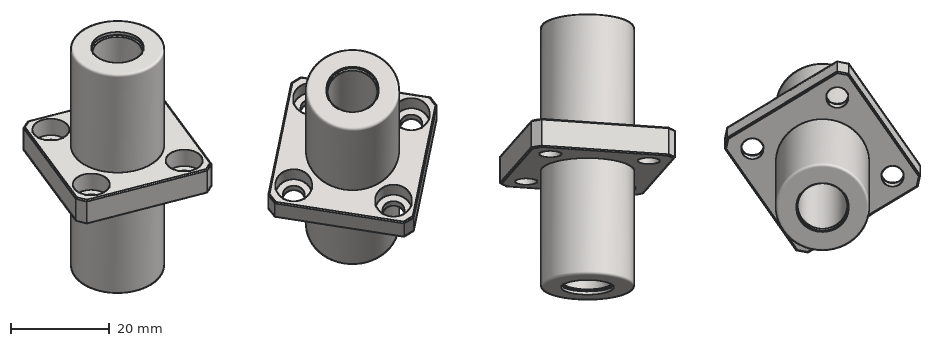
import cadquery as cq

sleeve_length = 55.0
sleeve_diameter = 19.0
sleeve_edge_radius = 0.55

bore_diameter = 10.0
mouth_diameter = 10.6
mouth_depth = 0.7
groove_diameter = 11.2
groove_width = 0.35

flange_side = 30.0
flange_across_corners = 40.0
flange_thickness = 6.0
flange_edge_chamfer = 0.3

screw_circle_radius = 14.5
screw_hole_diameter = 4.5
counterbore_diameter = 7.5
counterbore_depth = 4.1


def make_sleeve():
    """Solid cylinder with rounded end edges."""
    sleeve = cq.Workplane("XY").circle(sleeve_diameter / 2).extrude(sleeve_length / 2, both=True)
    return sleeve.faces("|Z").edges().fillet(sleeve_edge_radius)


def make_flange():
    """Diamond plate clipped by an upright square, chamfered on both faces."""
    diamond = (
        cq.Workplane("XY")
        .box(flange_side, flange_side, flange_thickness)
        .rotate((0, 0, 0), (0, 0, 1), 45)
    )
    clip = cq.Workplane("XY").box(flange_across_corners, flange_across_corners, flange_thickness)
    return diamond.intersect(clip).faces("|Z").edges().chamfer(flange_edge_chamfer)


def cut_screw_holes(body):
    """Through holes counterbored from the top face of the flange."""
    return (
        body.copyWorkplane(cq.Workplane("XY", origin=(0, 0, flange_thickness / 2)))
        .polarArray(screw_circle_radius, 0, 360, 4)
        .cboreHole(screw_hole_diameter, counterbore_diameter, counterbore_depth, flange_thickness)
    )


def make_bore():
    """Through bore together with the mouth and undercut groove at each end."""
    bore = cq.Workplane("XY").circle(bore_diameter / 2).extrude(sleeve_length / 2, both=True)
    top_mouth = (
        cq.Workplane("XY", origin=(0, 0, sleeve_length / 2))
        .circle(mouth_diameter / 2)
        .extrude(-mouth_depth)
    )
    top_groove = (
        cq.Workplane("XY", origin=(0, 0, sleeve_length / 2 - mouth_depth))
        .circle(groove_diameter / 2)
        .extrude(-groove_width)
    )
    top_recess = top_mouth.union(top_groove)
    bottom_recess = top_recess.mirror("XY")
    return bore.union(top_recess).union(bottom_recess)


drilled_flange = cut_screw_holes(make_flange())
result = drilled_flange.union(make_sleeve()).cut(make_bore())